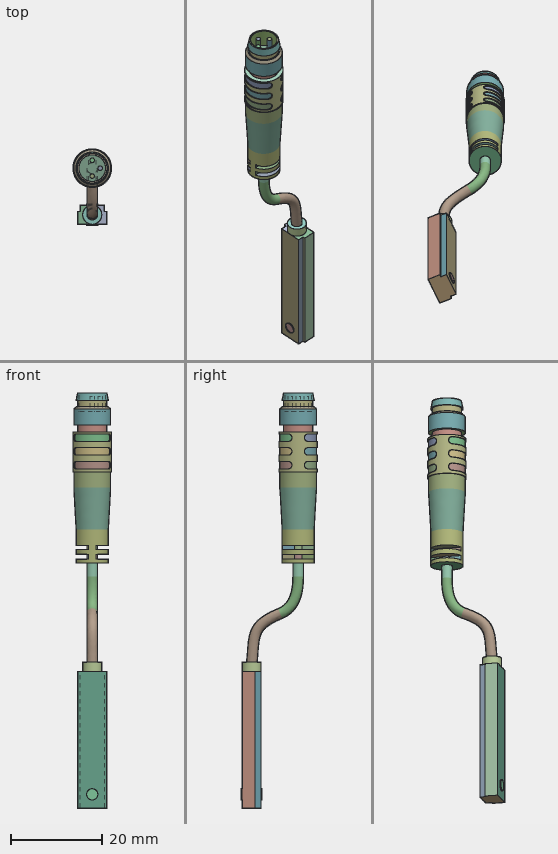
import cadquery as cq
import math

rim_dia = 6.5
latch_dia = 7.1
collar_dia = 8.1
grip_dia = 8.5
tail_dia = 7.1
cable_dia = 2.4

top_z = 91.0
latch_z = 89.4
collar_top_z = 88.0
collar_bottom_z = 83.9
grip_top_z = 82.5
grip_bottom_z = 73.6
taper_top_z = 70.2
taper_bottom_z = 61.1
plug_bottom_z = 53.7
collar_chamfer = 0.55

socket_dia = 5.8
socket_depth = 4.1
pin_dia = 1.0
pin_circle_radius = 1.7
pin_recess = 0.8
pin_angles = (0, 90, 270)

groove_height = 1.6
groove_pitch = 3.0
groove_count = 3
first_groove_z = 81.2
groove_floor_dia = collar_dia
groove_tip_y = 1.4

slot_heights = ((56.7, 57.5), (54.6, 55.6))
web_thickness = 1.7

sensor_y = -10.2
sensor_depth = 4.2
sensor_height = 30.0
sensor_width = 6.4
sensor_back_width = 5.3
sensor_step = 1.4
boss_dia = 4.2
boss_top_z = 32.0
screw_dia = 2.5
screw_z = 3.1
screw_protrusion = 0.23

bend_start_z = 50.7
bend_middle_y = -3.9
bend_middle_z = 42.7
bend_middle_angle = 68.0
shoulder_y = -8.65
shoulder_z = 39.6
cable_entry_angle = 7.0
cable_embed = 0.5


def cylinder(diameter, bottom_z, top, x=0, y=0):
    return cq.Workplane("XY", origin=(x, y, bottom_z)).circle(diameter / 2).extrude(top - bottom_z)


def make_plug():
    """Revolved plug outline with the socket and its pins."""
    rim_r = rim_dia / 2
    collar_r = collar_dia / 2
    grip_r = grip_dia / 2
    outline = [
        (0, top_z),
        (rim_r, top_z),
        (latch_dia / 2, latch_z),
        (rim_r, latch_z),
        (rim_r, collar_top_z),
        (collar_r - collar_chamfer, collar_top_z),
        (collar_r, collar_top_z - collar_chamfer),
        (collar_r, collar_bottom_z),
        (rim_r, collar_bottom_z),
        (rim_r, grip_top_z),
        (grip_r, grip_top_z),
        (grip_r, grip_bottom_z),
        (collar_r, grip_bottom_z),
        (collar_r, taper_top_z),
        (tail_dia / 2, taper_bottom_z),
        (tail_dia / 2, plug_bottom_z),
        (0, plug_bottom_z),
    ]
    plug = cq.Workplane("XZ").polyline(outline).close().revolve(360, (0, 0, 0), (0, 1, 0))
    socket_floor_z = top_z - socket_depth
    plug = plug.cut(cylinder(socket_dia, socket_floor_z, top_z))
    for angle in pin_angles:
        x = pin_circle_radius * math.cos(math.radians(angle))
        y = pin_circle_radius * math.sin(math.radians(angle))
        plug = plug.union(cylinder(pin_dia, socket_floor_z - cable_embed, top_z - pin_recess, x, y))
    return plug


def make_groove(z, side):
    """Shallow groove around one side (+1 or -1 in Y) with round ends."""
    half = groove_height / 2
    ring = cylinder(grip_dia + 0.9, z - half, z + half).cut(cylinder(groove_floor_dia, z - half, z + half))
    end_y = side * (groove_tip_y + half)
    round_ends = cq.Workplane("YZ").center(end_y, z).circle(half).extrude(grip_dia, both=True)
    middle = cq.Workplane("XY").box(2 * grip_dia, grip_dia, groove_height)
    middle = middle.translate((0, end_y + side * grip_dia / 2, z))
    return ring.intersect(round_ends.union(middle))


def make_relief_slot(bottom_z, top):
    """Disc-shaped gap around the central web and the cable core."""
    web = cq.Workplane("XY", origin=(0, 0, bottom_z)).rect(web_thickness, 2 * tail_dia)
    web = web.extrude(top - bottom_z)
    return cylinder(tail_dia + 0.9, bottom_z, top).cut(web).cut(cylinder(cable_dia, bottom_z, top))


def cable_direction(angle):
    """Downward direction in the YZ plane, tilted from vertical toward -Y by the angle in degrees."""
    tilt = math.radians(angle)
    return (-math.sin(tilt), -math.cos(tilt))


def make_cable():
    """S-shaped cable in the YZ plane, from the plug to the sensor boss."""
    path = (
        cq.Workplane("YZ")
        .moveTo(0, plug_bottom_z + cable_embed)
        .lineTo(0, bend_start_z)
        .spline(
            [(bend_middle_y, bend_middle_z)],
            tangents=[cable_direction(0), cable_direction(bend_middle_angle)],
            includeCurrent=True,
        )
        .spline(
            [(shoulder_y, shoulder_z), (sensor_y, boss_top_z - cable_embed)],
            tangents=[cable_direction(bend_middle_angle), cable_direction(cable_entry_angle)],
            includeCurrent=True,
        )
    )
    profile = cq.Workplane("XY", origin=(0, 0, plug_bottom_z + cable_embed)).circle(cable_dia / 2)
    return profile.sweep(path)


def make_sensor():
    """Stepped rectangular body with a cable boss and a screw showing on both faces."""
    front_y = sensor_y - sensor_depth / 2
    front_depth = sensor_depth - sensor_step
    front = cq.Workplane("XY").center(0, front_y + front_depth / 2)
    front = front.rect(sensor_width, front_depth).extrude(sensor_height)
    back = cq.Workplane("XY").center(0, sensor_y)
    back = back.rect(sensor_back_width, sensor_depth).extrude(sensor_height)
    boss = cylinder(boss_dia, sensor_height, boss_top_z, y=sensor_y)
    screw = cq.Workplane("XZ", origin=(0, sensor_y, screw_z)).circle(screw_dia / 2)
    screw = screw.extrude(sensor_depth / 2 + screw_protrusion, both=True)
    return front.union(back).union(boss).union(screw)


plug = make_plug()
for index in range(groove_count):
    for side in (-1, 1):
        plug = plug.cut(make_groove(first_groove_z - index * groove_pitch, side))
for slot_bottom, slot_top in slot_heights:
    plug = plug.cut(make_relief_slot(slot_bottom, slot_top))

result = plug.union(make_cable()).union(make_sensor())